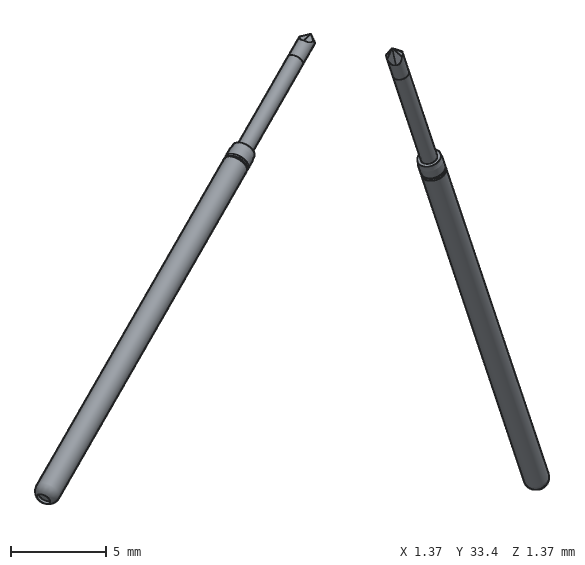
import cadquery as cq
import math

total_length = 33.4
barrel_diameter = 1.37
barrel_length = 25.0
plunger_diameter = 0.9

rear_round_radius = 0.58
rear_hole_diameter = 0.74
rear_hole_depth = 0.2
groove_position = 0.85
groove_width = 0.2
groove_depth = 0.04
mouth_length = 0.32
mouth_setback = 0.04

head_length = 1.95
head_step = 0.0025
point_length_x = 0.44
point_length_z = 0.84
point_sides = 8

barrel_radius = barrel_diameter / 2
head_radius = plunger_diameter / 2
shaft_radius = head_radius + head_step
rear_hole_radius = rear_hole_diameter / 2
shaft_start_y = barrel_length / 2


def revolve_about_y(profile):
    """Full turn of a closed half profile about the Y axis."""
    return profile.revolve(360, (0, 0, 0), (0, 1, 0))


def make_barrel():
    """Barrel with a rounded rear end, a shallow rear hole, a V-groove ring and a flared mouth."""
    round_center_radius = barrel_radius - rear_round_radius
    lip_angle = math.acos((rear_hole_radius - round_center_radius) / rear_round_radius)
    round_center_y = rear_round_radius * math.sin(lip_angle)
    round_mid_radius = round_center_radius + rear_round_radius * math.cos(lip_angle / 2)
    round_mid_y = round_center_y - rear_round_radius * math.sin(lip_angle / 2)

    groove_front_y = barrel_length - groove_position
    groove_rear_y = groove_front_y - groove_width
    groove_mid_y = groove_rear_y + groove_width / 2

    mouth_radius = barrel_radius - mouth_setback
    flare_radius = (mouth_length**2 + mouth_setback**2) / (2 * mouth_setback)
    flare_mid_y = barrel_length - mouth_length / 2
    flare_mid_rise = flare_radius - math.sqrt(flare_radius**2 - (mouth_length / 2) ** 2)

    profile = (
        cq.Workplane("XY")
        .moveTo(0, rear_hole_depth)
        .lineTo(rear_hole_radius, rear_hole_depth)
        .lineTo(rear_hole_radius, 0)
        .threePointArc((round_mid_radius, round_mid_y), (barrel_radius, round_center_y))
        .lineTo(barrel_radius, groove_rear_y)
        .lineTo(barrel_radius - groove_depth, groove_mid_y)
        .lineTo(barrel_radius, groove_front_y)
        .lineTo(barrel_radius, barrel_length - mouth_length)
        .threePointArc((mouth_radius + flare_mid_rise, flare_mid_y), (mouth_radius, barrel_length))
        .lineTo(0, barrel_length)
        .close()
    )
    return revolve_about_y(profile)


def make_point_envelope():
    """Pyramid with its apex at the tip and its base corners on an ellipse at Y = 0."""
    half_x = head_radius * total_length / point_length_x
    half_z = head_radius * total_length / point_length_z
    angles = [2 * math.pi * side / point_sides for side in range(point_sides)]
    corners = [cq.Vector(half_x * math.cos(angle), 0, half_z * math.sin(angle)) for angle in angles]
    apex = cq.Vector(0, total_length, 0)
    outlines = [corners]
    for side in range(point_sides):
        outlines.append([corners[side - 1], corners[side], apex])
    faces = [cq.Face.makeFromWires(cq.Wire.makePolygon(outline, close=True)) for outline in outlines]
    return cq.Workplane(cq.Solid.makeSolid(cq.Shell.makeShell(faces)))


def make_plunger():
    """Round shaft and head, with the head cut to the faceted point."""
    head_y = total_length - head_length
    profile = (
        cq.Workplane("XY")
        .moveTo(0, shaft_start_y)
        .lineTo(shaft_radius, shaft_start_y)
        .lineTo(shaft_radius, head_y)
        .lineTo(head_radius, head_y)
        .lineTo(head_radius, total_length)
        .lineTo(0, total_length)
        .close()
    )
    return revolve_about_y(profile).intersect(make_point_envelope())


result = make_barrel().union(make_plunger())